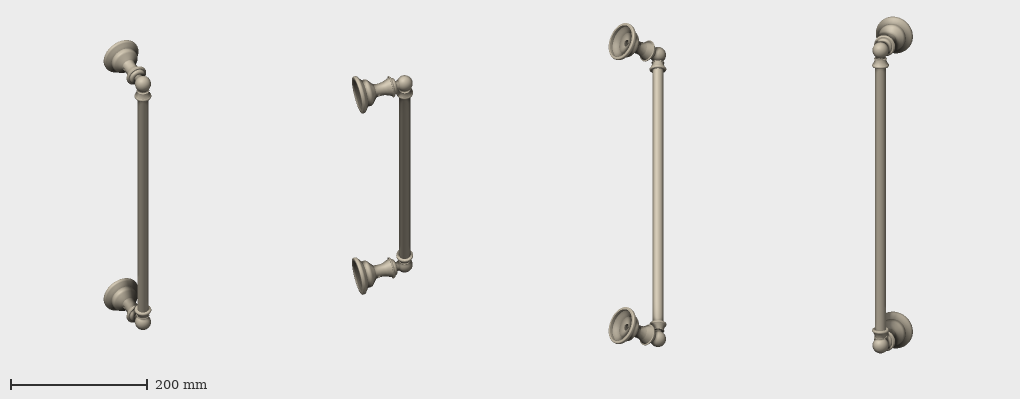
import cadquery as cq
import math

overall_length = 513.0
projection = 84.5
flange_diameter = 56.0
flange_radius = flange_diameter / 2
post_height = overall_length / 2 - flange_radius

ball_radius = 12.0
ferrule_neck_radius = 5.5
ferrule_top_radius = 9.0
ferrule_top_drop = 12.5
ferrule_lip_drop = 13.5
ferrule_waist_radius = 8.0
ferrule_flare_sag = 0.5
ferrule_flare_radius = 11.5
ferrule_bead_radius = 12.5
ferrule_bead_start = 21.0
ferrule_end_drop = 25.0
bar_x = projection - ferrule_bead_radius
bar_radius = 8.0

flange_back_fillet = 1.5
flange_round_x = 3.0
flange_rim_x = 6.0
flange_rim_radius = 26.0
flange_front_x = 11.0
shoulder_radius = 20.0
cavity_mouth_radius = 24.0
cavity_mouth_depth = 5.0
cavity_opening_radius = 16.0

shoulder_end_x = 17.5
shoulder_blend_radius = 5.0
cone_end_x = 26.0
cone_end_radius = 10.5
waist_radius = 9.0
neck_end_x = 41.5
bell_end_x = 51.0
bell_end_radius = 14.0
disc_radius = 16.0
disc_rim_x = 52.0
disc_end_x = 54.0
disc_end_radius = 14.5
cap_radius = 12.5
cap_shoulder_x = 55.0
cap_end_x = 58.0
stub_radius = 6.5
counterbore_radius = 5.0
counterbore_depth = 4.0
bolt_hole_radius = 2.0
bolt_hole_depth = 14.5
set_screw_hole_radius = 2.3
set_screw_hole_x = 30.5
set_screw_hole_depth = 5.0

half_root = math.sqrt(0.5)


def spin_about_x(profile):
    """Close an outline drawn as (X, radius) and revolve it about the X axis."""
    return profile.close().revolve(360, (0, 0, 0), (1, 0, 0))


def make_flange():
    fillet_centre = flange_radius - flange_back_fillet
    outline = (
        cq.Workplane("XZ")
        .moveTo(0, cavity_mouth_radius)
        .lineTo(0, fillet_centre)
        .threePointArc(
            (flange_back_fillet * (1 - half_root), fillet_centre + flange_back_fillet * half_root),
            (flange_back_fillet, flange_radius),
        )
        .lineTo(flange_round_x, flange_radius)
        .tangentArcPoint((flange_rim_x, flange_rim_radius), relative=False)
        .lineTo(flange_front_x, shoulder_radius)
        .lineTo(flange_front_x, cavity_opening_radius)
        .lineTo(cavity_mouth_depth, cavity_mouth_radius)
    )
    return spin_about_x(outline)


def make_post():
    slope = math.atan2(shoulder_radius - cone_end_radius, cone_end_x - shoulder_end_x)
    blend_length = shoulder_blend_radius * math.tan(slope / 2)
    blend_end = (
        shoulder_end_x + blend_length * math.cos(slope),
        shoulder_radius - blend_length * math.sin(slope),
    )
    outline = (
        cq.Workplane("XY")
        .moveTo(flange_front_x, 0)
        .lineTo(flange_front_x, shoulder_radius)
        .lineTo(shoulder_end_x - blend_length, shoulder_radius)
        .tangentArcPoint(blend_end, relative=False)
        .lineTo(cone_end_x, cone_end_radius)
        .threePointArc(
            ((cone_end_x + neck_end_x) / 2, waist_radius),
            (neck_end_x, cone_end_radius),
        )
        .lineTo(bell_end_x, bell_end_radius)
        .lineTo(bell_end_x, disc_radius)
        .lineTo(disc_rim_x, disc_radius)
        .lineTo(disc_end_x, disc_end_radius)
        .lineTo(disc_end_x, cap_radius)
        .lineTo(cap_shoulder_x, cap_radius)
        .tangentArcPoint((cap_end_x, stub_radius), relative=False)
        .lineTo(bar_x, stub_radius)
        .lineTo(bar_x, 0)
    )
    ball = cq.Workplane("XY", origin=(bar_x, 0, 0)).sphere(ball_radius)
    back = cq.Workplane("YZ", origin=(flange_front_x, 0, 0))
    counterbore = back.circle(counterbore_radius).extrude(counterbore_depth)
    bolt_hole = back.circle(bolt_hole_radius).extrude(bolt_hole_depth)
    set_screw_hole = (
        cq.Workplane("XZ", origin=(set_screw_hole_x, set_screw_hole_depth - cone_end_radius, 0))
        .circle(set_screw_hole_radius)
        .extrude(cone_end_radius)
    )
    post = spin_about_x(outline).cut(ball)
    return post.cut(counterbore).cut(bolt_hole).cut(set_screw_hole)


def make_finial():
    """Finial of the upper post, with its ball centred on the origin and the ferrule below."""
    ball = cq.Workplane("XY").sphere(ball_radius)
    ferrule = (
        cq.Workplane("XZ")
        .lineTo(ferrule_neck_radius, 0)
        .lineTo(ferrule_neck_radius, -ferrule_top_drop)
        .lineTo(ferrule_top_radius, -ferrule_top_drop)
        .lineTo(ferrule_top_radius, -ferrule_lip_drop)
        .lineTo(ferrule_waist_radius, -ferrule_lip_drop)
        .sagittaArc((ferrule_flare_radius, -ferrule_bead_start), -ferrule_flare_sag)
        .threePointArc(
            (ferrule_bead_radius, -(ferrule_bead_start + ferrule_end_drop) / 2),
            (ferrule_flare_radius, -ferrule_end_drop),
        )
        .lineTo(0, -ferrule_end_drop)
        .close()
        .revolve(360, (0, 0, 0), (0, 1, 0))
    )
    return ball.union(ferrule)


def make_bar():
    length = 2 * (post_height - ferrule_end_drop)
    return cq.Workplane("XY", origin=(bar_x, 0, -length / 2)).circle(bar_radius).extrude(length)


bar = make_bar()
flanges = []
posts = []
finials = []
for side in (1, -1):
    height = side * post_height
    flanges.append(make_flange().translate((0, 0, height)).val())
    posts.append(make_post().translate((0, 0, height)).val())
    finial = make_finial()
    if side < 0:
        finial = finial.mirror("XY")
    finials.append(finial.translate((bar_x, 0, height)).val())

result = cq.Compound.makeCompound([bar.val(), *flanges, *posts, *finials])